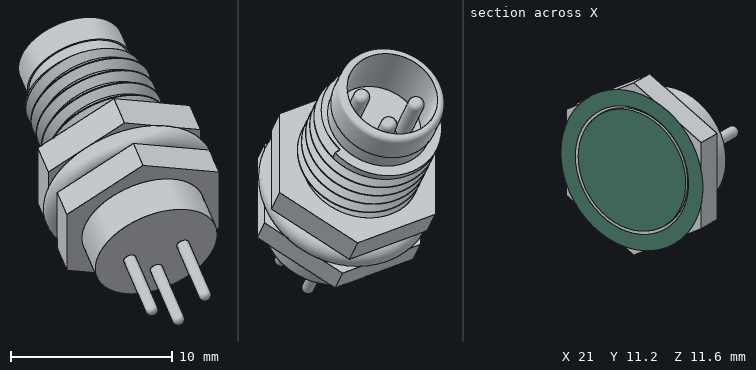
import cadquery as cq

LENGTH = 21.0

BAND_END = 2.0
THREAD_START = 3.2
NUT_START = 8.5
NUT_END = 10.5
FLANGE_START = 12.18
FLANGE_END = 13.99
BODY_END = 16.48

NOSE_RADIUS = 3.42
NECK_RADIUS = 3.32
NOSE_FILLET = 0.35
SOCKET_RADIUS = 2.9
SOCKET_DEPTH = 4.0

BODY_RADIUS = 4.01
PITCH = 1.0
GROOVE_WIDTH = 0.99
GROOVE_DEPTH = 0.48
GROOVE_START = 3.25
GROOVE_START_ANGLE = -45.0
GROOVE_CLEARANCE = 0.02

HEX_CORNER_DIAMETER = 11.55

RING_OUTER_DIAMETER = 11.15
RING_SECTION_RADIUS = (FLANGE_START - NUT_END) / 2

PIN_OFFSET = 1.75
PIN_POSITIONS = [(PIN_OFFSET, 0), (-PIN_OFFSET, 0), (0, -PIN_OFFSET)]
FRONT_PIN_RADIUS = 0.5
FRONT_PIN_TIP = 0.46
REAR_PIN_RADIUS = 0.4
PIN_TIP_FILLET = 0.35


def plane_at(x):
    """Workplane across the axis, with local x along Y and local y along Z."""
    return cq.Workplane("YZ", origin=(x, 0, 0))


def cylinder(start, end, radius):
    return plane_at(start).circle(radius).extrude(end - start)


def hexagon(start, end):
    outline = plane_at(start).transformed(rotate=(0, 0, 90)).polygon(6, HEX_CORNER_DIAMETER)
    return outline.extrude(end - start)


def thread_groove():
    """Right-handed helical cutter that runs on into the nut."""
    root_radius = BODY_RADIUS - GROOVE_DEPTH
    helix = cq.Wire.makeHelix(
        PITCH,
        NUT_START + PITCH / 2 - GROOVE_START,
        root_radius,
        center=cq.Vector(0, 0, 0),
        dir=cq.Vector(0, 0, 1),
    )
    half_width = GROOVE_WIDTH / 2
    mouth_radius = BODY_RADIUS + GROOVE_CLEARANCE
    profile = cq.Workplane("XZ").polyline([
        (root_radius, 0),
        (mouth_radius, half_width),
        (mouth_radius, -half_width),
    ]).close()
    cutter = profile.sweep(cq.Workplane(obj=helix), isFrenet=True)
    cutter = cutter.rotate((0, 0, 0), (1, 1, 1), 120)
    cutter = cutter.rotate((0, 0, 0), (1, 0, 0), GROOVE_START_ANGLE)
    return cutter.translate((GROOVE_START, 0, 0))


def nose():
    band = cylinder(0, BAND_END, NOSE_RADIUS).faces("<X").edges().fillet(NOSE_FILLET)
    return band.union(cylinder(BAND_END, THREAD_START, NECK_RADIUS))


def sealing_ring():
    centre_radius = RING_OUTER_DIAMETER / 2 - RING_SECTION_RADIUS
    centre_x = (NUT_END + FLANGE_START) / 2
    section = cq.Workplane("XY").center(centre_x, centre_radius).circle(RING_SECTION_RADIUS)
    return section.revolve(360, (-centre_x, -centre_radius), (0.2 - centre_x, -centre_radius))


def pin(start, end, radius, tip, position):
    """Pin between two stations, rounded at the end given by the face selector tip."""
    rod = cylinder(start, end, radius).faces(tip).edges().fillet(PIN_TIP_FILLET)
    return rod.translate((0, *position))


result = cylinder(THREAD_START, BODY_END, BODY_RADIUS).cut(thread_groove())
result = result.union(nose())
result = result.union(hexagon(NUT_START, NUT_END))
result = result.union(sealing_ring())
result = result.union(hexagon(FLANGE_START, FLANGE_END))
result = result.cut(cylinder(0, SOCKET_DEPTH, SOCKET_RADIUS))
for pin_position in PIN_POSITIONS:
    result = result.union(pin(FRONT_PIN_TIP, NUT_START, FRONT_PIN_RADIUS, "<X", pin_position))
    result = result.union(pin(FLANGE_END, LENGTH, REAR_PIN_RADIUS, ">X", pin_position))